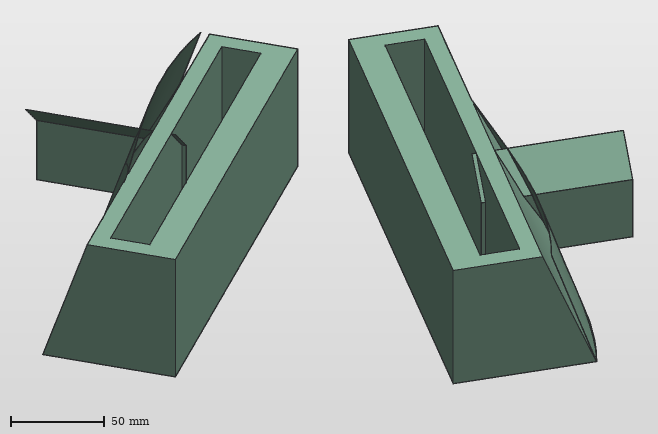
import cadquery as cq

length = 220.0
height = 75.0
top_width = 49.7
base_flare = 25.0
slot_width = 22.0
wall = 10.1

wing_start = 70.0
wing_length = length - wing_start
wing_skin = 0.2
bulge_controls = (0.0, 7.0, 18.5, 5.0)
drop_controls = (0.0, 0.16, 1.0, 1.0)
recess_start = 0.03
recess_steps = 8
outline_steps = 8

plate_thickness = 0.2
plate_length = 84.3
plate_end = 12.5
plate_ridge = 118.5
slope_run = 19.5
slope_drop = 19.0
flange_height = 37.8


def cubic(controls, s):
    """Cubic Bezier value at parameter s."""
    a, b, c, d = controls
    r = 1 - s
    return a * r**3 + 3 * b * s * r**2 + 3 * c * s**2 * r + d * s**3


def slanted_x(z):
    """X of the slanted side at height z."""
    return -base_flare * (1 - z / height)


def make_block():
    profile = [(-base_flare, 0), (top_width, 0), (top_width, height), (0, height)]
    return cq.Workplane("XZ").polyline(profile).close().extrude(-length)


def make_slot():
    slot = cq.Workplane("XY").box(slot_width, length - 2 * wall, height, centered=False)
    return slot.translate((wall, wall, 0))


def wing_outline(z):
    """Plan outline of the wing at height z: bulging curve closed along the slanted side."""
    x = slanted_x(z)
    curve = []
    for i in range(outline_steps + 1):
        s = i / outline_steps
        curve.append(cq.Vector(x - cubic(bulge_controls, s), wing_start + s * wing_length, z))
    root = [cq.Vector(x, length, z), cq.Vector(x, wing_start, z)]
    return cq.Wire.assembleEdges([
        cq.Edge.makeSpline(curve),
        cq.Edge.makeLine(curve[-1], root[0]),
        cq.Edge.makeLine(root[0], root[1]),
    ])


def make_wing():
    return cq.Workplane(cq.Solid.makeLoft([wing_outline(0), wing_outline(height)], True))


def make_recess():
    """Open recess behind the wing skin; its floor runs from the block's top edge
    down to a curve that falls along the skin from the top to the underside."""
    sections = []
    for i in range(recess_steps + 1):
        s = recess_start + (1 - recess_start) * i / recess_steps
        y = wing_start + s * wing_length
        reach = cubic(bulge_controls, s) - wing_skin
        foot_z = height * (1 - cubic(drop_controls, s))
        corners = [
            cq.Vector(0, y, height),
            cq.Vector(-reach, y, height),
            cq.Vector(slanted_x(foot_z) - reach, y, foot_z),
        ]
        sections.append(cq.Wire.makePolygon(corners, close=True))
    return cq.Workplane(cq.Solid.makeLoft(sections, False))


def make_plate():
    bend_y = plate_ridge + slope_run
    bend_z = height - slope_drop
    foot_z = bend_z - flange_height
    profile = [
        (plate_ridge, height),
        (bend_y, bend_z),
        (bend_y, foot_z),
        (bend_y + plate_thickness, foot_z),
        (bend_y + plate_thickness, bend_z),
        (plate_ridge + plate_thickness, height),
    ]
    plate = cq.Workplane("YZ").polyline(profile).close().extrude(plate_length)
    return plate.translate((plate_end - plate_length, 0, 0))


winged_block = make_block().union(make_wing().cut(make_recess())).cut(make_slot())
result = winged_block.union(make_plate())